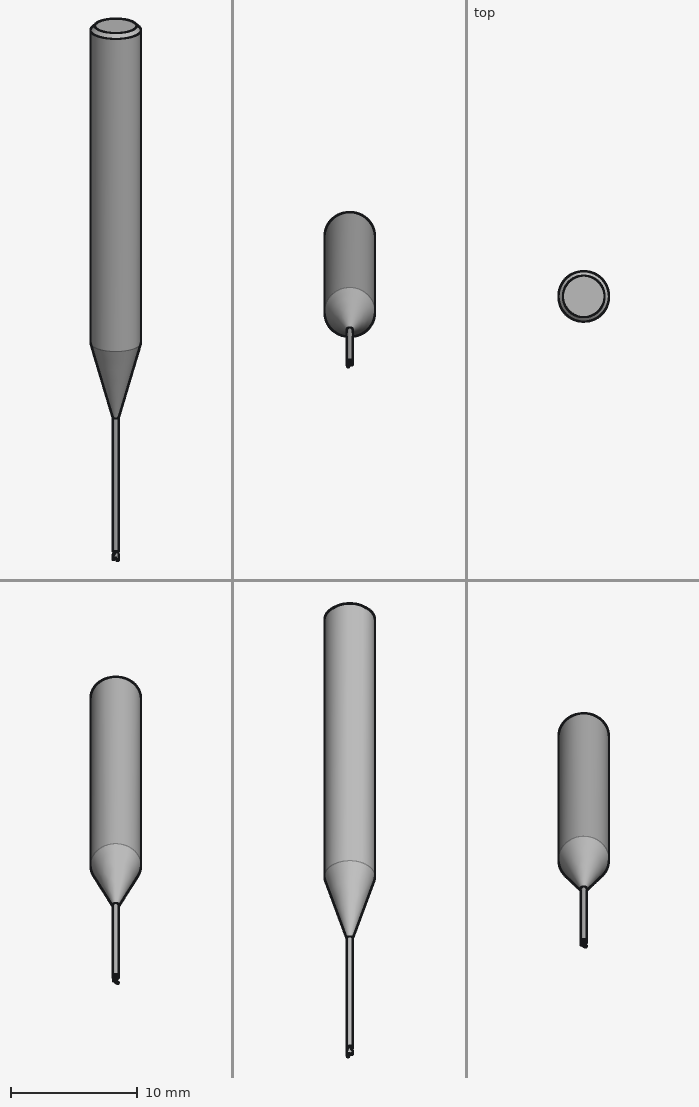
import cadquery as cq
import math

total_length = 45.0
shank_diameter = 4.0
neck_diameter = 0.5

shoulder_height = 18.3
cone_end_height = 12.0
flute_length = 0.8

chamfer_width = 0.35
chamfer_height = 0.35

web_thickness = 0.15
helix_angle = 32.0
gash_width = 0.3
gash_depth = 0.22

shank_radius = shank_diameter / 2
neck_radius = neck_diameter / 2
helix_pitch = math.pi * neck_diameter / math.tan(math.radians(helix_angle))
flute_twist = 360 * flute_length / helix_pitch


def make_shank():
    """Cylindrical shank with a chamfered end, tapering down to the neck."""
    return (
        cq.Workplane("XZ")
        .moveTo(0, cone_end_height)
        .lineTo(neck_radius, cone_end_height)
        .lineTo(shank_radius, shoulder_height)
        .lineTo(shank_radius, total_length - chamfer_height)
        .lineTo(shank_radius - chamfer_width, total_length)
        .lineTo(0, total_length)
        .close()
        .revolve(360, (0, 0, 0), (0, 1, 0))
    )


def make_fluted_tip():
    """Twisted two-edged web, with round outer lands and its long side along X at the tip."""
    land_y = web_thickness / 2
    land_x = math.sqrt(neck_radius**2 - land_y**2)
    return (
        cq.Workplane("XY")
        .moveTo(-land_x, -land_y)
        .lineTo(land_x, -land_y)
        .threePointArc((neck_radius, 0), (land_x, land_y))
        .lineTo(-land_x, land_y)
        .threePointArc((-neck_radius, 0), (-land_x, -land_y))
        .close()
        .twistExtrude(flute_length, flute_twist)
    )


def make_end_gash():
    """V-shaped groove across the tip that separates the two cutting edges."""
    return (
        cq.Workplane("XZ")
        .polyline([(-gash_width / 2, 0), (gash_width / 2, 0), (0, gash_depth)])
        .close()
        .extrude(neck_radius, both=True)
    )


def make_cutter():
    """Slender neck that carries the fluted tip."""
    neck = (
        cq.Workplane("XY", origin=(0, 0, flute_length))
        .circle(neck_radius)
        .extrude(cone_end_height - flute_length)
    )
    return neck.union(make_fluted_tip()).cut(make_end_gash())


shank = make_shank()
cutter = make_cutter()

result = cq.Compound.makeCompound([shank.val(), *cutter.vals()])